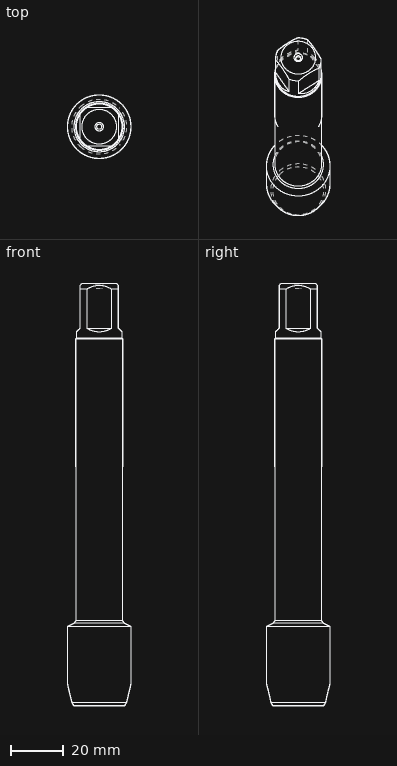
import cadquery as cq

total_length = 160.0

head_diameter = 24.2
head_top = 30.0
shoulder_top = 31.4
shoulder_top_diameter = 19.0
lead_top = 8.3
lead_bottom_diameter = 20.8
tip_height = 1.3
tip_diameter = 19.2

neck_diameter = 17.8
neck_bottom = 32.3
shank_diameter = 18.0
shank_bottom = 90.4
neck_transition = 0.5
shank_top = 139.4

drive_diameter = 17.3
drive_flats = 14.5
flat_length = 17.0
drive_chamfer = 2.0
center_hole_diameter = 2.0
center_hole_depth = 2.0
center_mouth_diameter = 3.2


def revolve_profile(points):
    """Revolve an outline of (radius, height) points around Z."""
    return cq.Workplane("XZ").polyline(points).close().revolve(360, (0, 0), (0, 1))


def make_head():
    """Head with a conical lead at the bottom and a conical shoulder at the top."""
    return revolve_profile([
        (0, 0),
        (tip_diameter / 2, 0),
        (lead_bottom_diameter / 2, tip_height),
        (head_diameter / 2, lead_top),
        (head_diameter / 2, head_top),
        (shoulder_top_diameter / 2, shoulder_top),
        (neck_diameter / 2, neck_bottom),
        (0, neck_bottom),
    ])


def make_flat_cutter():
    """Cutter for the +X flat, with a 45 degree run-out that falls outwards."""
    flat = drive_flats / 2
    outside = shank_diameter / 2
    flat_bottom = total_length - flat_length
    return (
        cq.Workplane("XZ")
        .polyline([
            (flat, flat_bottom),
            (outside, flat_bottom - (outside - flat)),
            (outside, total_length),
            (flat, total_length),
        ])
        .close()
        .extrude(shank_diameter / 2, both=True)
    )


def make_center_hole():
    """Blind center hole with a 45 degree countersunk mouth."""
    hole_radius = center_hole_diameter / 2
    mouth_radius = center_mouth_diameter / 2
    return revolve_profile([
        (0, total_length),
        (mouth_radius, total_length),
        (hole_radius, total_length - (mouth_radius - hole_radius)),
        (hole_radius, total_length - center_hole_depth),
        (0, total_length - center_hole_depth),
    ])


def make_shank():
    """Neck, shank and square drive turned in one piece."""
    neck_radius = neck_diameter / 2
    shank_radius = shank_diameter / 2
    drive_radius = drive_diameter / 2
    shank = revolve_profile([
        (0, neck_bottom),
        (neck_radius, neck_bottom),
        (neck_radius, shank_bottom),
        (shank_radius, shank_bottom + neck_transition),
        (shank_radius, shank_top - (shank_radius - drive_radius)),
        (drive_radius, shank_top),
        (drive_radius, total_length - drive_chamfer),
        (drive_radius - drive_chamfer, total_length),
        (0, total_length),
    ])
    for angle in (0, 90, 180, 270):
        shank = shank.cut(make_flat_cutter().rotate((0, 0, 0), (0, 0, 1), angle))
    return shank.cut(make_center_hole())


head = make_head()
shank = make_shank()
result = cq.Compound.makeCompound([head.val(), shank.val()])